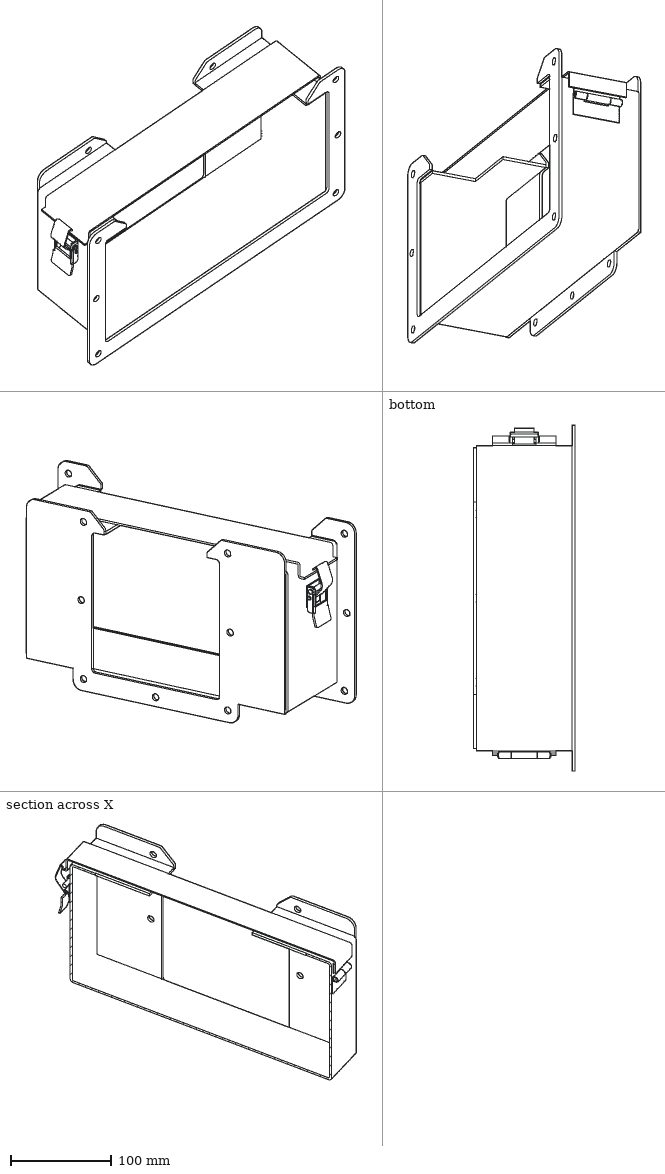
import cadquery as cq

duct_depth = 101.7
mid_x = duct_depth / 2
plate = 3.0

flange_height = 193.8
flange_rim = 21.8
flange_corner = 10.0
front_half_width = 96.2
rear_half_width = 173.0
rear_lift = 3.5
front_tab_overhang = 14.5
rear_tab_overhang = 28.5
tab_bottom = 172.0
tab_edge = 5.5
tab_blend = 3.5
opening_corner = 3.8
hole_dia = 7.3
hole_inset = 12.0
side_hole_inset = 9.5
low_hole_z = 12.8
middle_hole_z = 97.0
high_hole_z = 181.5
center_hole_z = 10.0

duct_half_width = 152.5
duct_top = 174.8
duct_sheet = 3.0
duct_bend = 4.0
duct_bottom = flange_rim
wide_half_width = 150.5

lid_width = 63.7
lid_sheet = 2.0
lid_bend = 3.0
lid_top_gap = 2.8
lid_side_gap = 2.5
lid_bottom = 162.5
lip_reach = 5.2

hinge_length = 51.2
middle_knuckle = 25.5
knuckle_dia = 7.3
hinge_pin_dia = 3.8
hinge_pin_overhang = 1.0
hinge_y = 156.8
hinge_z = 155.0
fixed_leaf_bottom = 135.0
moving_leaf_top = 173.7
knuckle_gap = 0.5

base_sheet = 1.5
base_top = 147.0
base_bottom = 124.0
ear_bottom = 139.0
ear_front = -161.0
pivot_dia = 5.0
pivot_length = 30.0
pivot_y = -159.0
pivot_z = 143.0

lever_width = 28.0
lever_sheet = 2.5
lever_plate = 2.0
lever_plate_width = 24.0
lever_front = -163.0
lever_back = -155.0
lever_shoulder = 140.0
lever_side_bottom = 120.0
lever_flare = 117.0
lever_tip = 105.2
lever_tip_reach = 3.0
lever_round = 3.0
lever_tip_round = 2.0
window_width = 21.8
window_bottom = 126.3

hook_width = 19.7
hook_sheet = 1.5
hook_eye_dia = 5.5
hook_tip_y = -159.2
hook_curl_start = (-161.0, 166.8)
hook_curl_peak = (-162.5, 167.5)
hook_curl_end = (-164.0, 166.0)
hook_bend_start = (-168.5, 153.3)
hook_bend_middle = (-169.2, 149.5)
hook_bend_end = (-168.0, 145.5)
hook_eye_joint = (-158.5, 134.3)
hook_pin_dia = 3.2
hook_pin_overhang = 0.7
hook_pin_collar_dia = 4.0
hook_pin_collar = 0.5
hook_pin_y = -157.0
hook_pin_z = 135.5


def side_plane(x):
    """Sketch plane at the given X; local x is Y and local y is Z."""
    return cq.Workplane("YZ", origin=(x, 0, 0))


def box(x0, x1, y0, y1, z0, z1):
    return cq.Workplane("XY").box(x1 - x0, y1 - y0, z1 - z0, centered=False).translate((x0, y0, z0))


def centered_box(width, y0, y1, z0, z1):
    """Box centred on the middle of the duct along X."""
    return box(mid_x - width / 2, mid_x + width / 2, y0, y1, z0, z1)


def rod(dia, length, y, z):
    """Cylinder along X, centred on the middle of the duct."""
    return side_plane(mid_x - length / 2).center(y, z).circle(dia / 2).extrude(length)


def round_corners(body, corners, radius):
    """Fillet the edges along X that pass through the given (y, z) points."""
    near = 0.17
    for y, z in corners:
        low = (-3.5, y - near, z - near)
        high = (duct_depth + 3.5, y + near, z + near)
        body = body.edges("|X").edges(cq.selectors.BoxSelector(low, high)).fillet(radius)
    return body


def both_sides(points):
    return [(side * y, z) for side in (-1, 1) for y, z in points]


def make_flange(half_width, tab_overhang, wide_part=None):
    """Flange plate with its back on X = 0 and its bottom on Z = 0.

    The opening is reached from above between two tabs with slanted edges. `wide_part` is the
    half width of the plate above the bottom rim, if it differs from `half_width`.
    """
    opening = half_width - flange_rim
    tip = opening - tab_overhang
    tip_top = tab_bottom + tab_edge
    slope_top = tip + flange_height - tip_top

    if wide_part is None:
        flange = box(0, plate, -half_width, half_width, 0, flange_height)
        top_corner = (half_width, flange_height)
    else:
        flange = box(0, plate, -half_width, half_width, 0, flange_rim)
        flange = flange.union(box(0, plate, -wide_part, wide_part, flange_rim, flange_height))
        top_corner = (wide_part, flange_height)

    half_gap = [
        (opening, flange_rim),
        (opening, tab_bottom),
        (tip, tab_bottom),
        (tip, tip_top),
        (slope_top, flange_height),
    ]
    mirrored_gap = [(-y, z) for y, z in reversed(half_gap)]
    flange = flange.cut(side_plane(0).polyline(half_gap + mirrored_gap).close().extrude(plate))

    flange = round_corners(flange, both_sides([(half_width, 0), top_corner]), flange_corner)
    flange = round_corners(flange, both_sides([(opening, flange_rim), (opening, tab_bottom)]), opening_corner)
    flange = round_corners(flange, both_sides([(tip, tip_top), (slope_top, flange_height)]), tab_blend)

    hole_points = both_sides([
        (half_width - hole_inset, low_hole_z),
        (half_width - side_hole_inset, middle_hole_z),
        (half_width - hole_inset, high_hole_z),
    ])
    return flange.cut(side_plane(0).pushPoints(hole_points).circle(hole_dia / 2).extrude(plate))


front_flange = make_flange(front_half_width, front_tab_overhang, wide_half_width)
center_hole = side_plane(0).center(0, center_hole_z).circle(hole_dia / 2).extrude(plate)
front_flange = front_flange.cut(center_hole)

rear_flange = make_flange(rear_half_width, rear_tab_overhang).translate((duct_depth - plate, 0, rear_lift))


def make_duct():
    """Bent sheet tube whose top wall is open between the flange tabs."""
    x0 = plate
    x1 = duct_depth - plate
    inner = duct_half_width - duct_sheet
    outside = box(x0, x1, -duct_half_width, duct_half_width, duct_bottom, duct_top)
    outside = outside.edges("|X").fillet(duct_bend)
    inside = box(x0, x1, -inner, inner, duct_bottom + duct_sheet, duct_top - duct_sheet)
    inside = inside.edges("|X").fillet(duct_bend - duct_sheet)
    duct = outside.cut(inside)
    front_gap = front_half_width - flange_rim - front_tab_overhang
    rear_gap = rear_half_width - flange_rim - rear_tab_overhang
    duct = duct.cut(box(x0, mid_x, -front_gap, front_gap, duct_top - duct_sheet, duct_top))
    return duct.cut(box(mid_x, x1, -rear_gap, rear_gap, duct_top - duct_sheet, duct_top))


duct = make_duct()


lid_inside = duct_half_width + lid_side_gap
lid_outside = lid_inside + lid_sheet
lid_top = duct_top + lid_top_gap + lid_sheet


def make_lid():
    """Folded lid with two skirts and a lip on the latch side."""
    lid = centered_box(lid_width, -lid_outside, lid_outside, lid_bottom, lid_top)
    lid = lid.edges("|X and >Z").fillet(lid_bend)
    hollow = centered_box(lid_width, -lid_inside, lid_inside, lid_bottom, lid_top - lid_sheet)
    lid = lid.cut(hollow.edges("|X and >Z").fillet(lid_bend - lid_sheet))
    lip = centered_box(lid_width, -lid_outside - lip_reach, -lid_inside, lid_bottom, lid_bottom + lid_sheet)
    lid = lid.union(lip)
    lid = round_corners(lid, [(-lid_inside, lid_bottom)], lid_bend)
    return round_corners(lid, [(-lid_outside, lid_bottom + lid_sheet)], lid_bend - lid_sheet)


lid = make_lid()


leaf = lid_side_gap / 2
middle_space = middle_knuckle + 2 * knuckle_gap


def make_hinge_leaf(y0, z0, z1):
    """Flat leaf against the duct or the lid, with one barrel along its full length."""
    bore = rod(hinge_pin_dia, hinge_length, hinge_y, hinge_z)
    barrel = rod(knuckle_dia, hinge_length, hinge_y, hinge_z)
    return centered_box(hinge_length, y0, y0 + leaf, z0, z1).union(barrel).cut(bore)


def knuckle_zone(width):
    """Space swept by the knuckles over the given width."""
    reach = knuckle_dia / 2 + knuckle_gap
    return centered_box(width, duct_half_width, hinge_y + reach, hinge_z - reach, hinge_z + reach)


fixed_leaf = make_hinge_leaf(duct_half_width, fixed_leaf_bottom, hinge_z)
fixed_leaf = fixed_leaf.cut(knuckle_zone(middle_space))

moving_leaf = make_hinge_leaf(duct_half_width + leaf, hinge_z, moving_leaf_top)
moving_leaf = moving_leaf.cut(knuckle_zone(hinge_length).cut(knuckle_zone(middle_knuckle)))

hinge_pin = rod(hinge_pin_dia, hinge_length + 2 * hinge_pin_overhang, hinge_y, hinge_z)


lever_inside = lever_width - 2 * lever_sheet


def make_latch_base():
    """Plate on the duct wall with two ears that carry the lever pivot."""
    wall = -duct_half_width
    plate_front = wall - base_sheet
    base = centered_box(lever_inside, plate_front, wall, base_bottom, base_top)
    ears = centered_box(lever_inside, ear_front, wall, ear_bottom, base_top)
    ears = ears.cut(centered_box(lever_inside - 2 * base_sheet, ear_front, wall, ear_bottom, base_top))
    return base.union(ears).union(rod(pivot_dia, pivot_length, pivot_y, pivot_z))


def make_lever():
    """Channel-shaped lever with a flared handle, a window for the hook and the hook pin."""
    lever = centered_box(lever_width, lever_front, lever_back, lever_side_bottom, base_top)
    inner_face = lever_front + lever_plate
    lever = round_corners(lever, [(lever_back, lever_side_bottom), (lever_front, base_top)], lever_round)
    lever = lever.cut(centered_box(lever_inside, inner_face, lever_back, lever_side_bottom, base_top))
    lever = lever.cut(centered_box(lever_inside, lever_front, inner_face, lever_shoulder, base_top))
    side_step = centered_box(lever_width, lever_front, inner_face, lever_side_bottom, lever_shoulder)
    front_plate = centered_box(lever_plate_width, lever_front, inner_face, lever_side_bottom, lever_shoulder)
    lever = lever.cut(side_step.cut(front_plate))
    handle_outline = [
        (inner_face, lever_side_bottom),
        (inner_face, lever_flare),
        (inner_face - lever_tip_reach, lever_tip),
        (lever_front - lever_tip_reach, lever_tip),
        (lever_front, lever_flare),
        (lever_front, lever_side_bottom),
    ]
    handle = side_plane(mid_x - lever_width / 2).polyline(handle_outline).close().extrude(lever_width)
    handle = handle.edges("<Z and |Y").fillet(lever_tip_round)
    lever = lever.union(handle)
    lever = lever.cut(centered_box(window_width, lever_front, inner_face, window_bottom, base_top))
    lever = lever.cut(rod(pivot_dia, pivot_length, pivot_y, pivot_z))
    collars = rod(hook_pin_collar_dia, lever_width + 2 * hook_pin_collar, hook_pin_y, hook_pin_z)
    collars = collars.cut(rod(hook_pin_collar_dia, lever_width, hook_pin_y, hook_pin_z))
    hook_pin = rod(hook_pin_dia, lever_width + 2 * hook_pin_overhang, hook_pin_y, hook_pin_z)
    return lever.union(collars).union(hook_pin)


def make_hook():
    """Bent strip that turns on the lever pin and curls over the lip of the lid."""
    tip = (hook_tip_y, lid_bottom + lid_sheet + hook_sheet / 2)
    strip = (
        side_plane(mid_x - hook_width / 2)
        .moveTo(*tip)
        .lineTo(*hook_curl_start)
        .threePointArc(hook_curl_peak, hook_curl_end)
        .lineTo(*hook_bend_start)
        .threePointArc(hook_bend_middle, hook_bend_end)
        .lineTo(*hook_eye_joint)
        .offset2D(hook_sheet / 2)
        .extrude(hook_width)
    )
    eye = rod(hook_eye_dia, hook_width, hook_pin_y, hook_pin_z)
    return strip.union(eye).cut(rod(hook_pin_dia, hook_width, hook_pin_y, hook_pin_z))


latch_base = make_latch_base()
lever = make_lever()
hook = make_hook()

bodies = [
    front_flange,
    rear_flange,
    duct,
    lid,
    fixed_leaf,
    moving_leaf,
    hinge_pin,
    latch_base,
    lever,
    hook,
]
result = cq.Compound.makeCompound([body.val() for body in bodies])